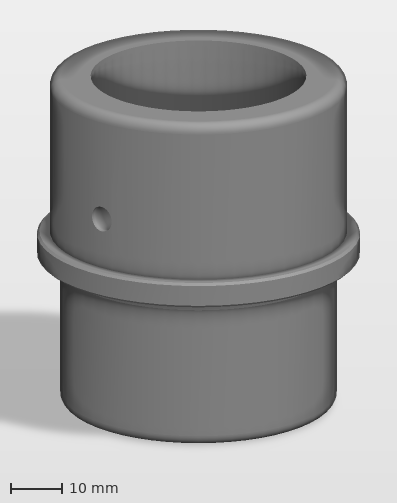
import cadquery as cq

height = 67.0
bore_radius = 21.05
lower_radius = 27.0
upper_radius = 29.0
end_round = 2.0

flange_radius = 31.5
flange_bottom = 30.0
flange_thickness = 5.0
flange_chamfer = 0.5
flange_top = flange_bottom + flange_thickness

groove_height = 2.0
groove_depth = 0.55
groove_radius = lower_radius - groove_depth
groove_bottom = flange_bottom - groove_height
groove_arc_radius = (groove_height**2 + groove_depth**2) / (2 * groove_depth)

hole_diameter = 5.0
hole_height = flange_top + 10.05


def cylinder(radius, bottom, top):
    return cq.Workplane("XY").workplane(offset=bottom).circle(radius).extrude(top - bottom)


def lower_sleeve():
    """Rounded lower cylinder, necked by the relief groove."""
    sleeve = cylinder(lower_radius, 0, groove_bottom).faces("<Z").edges().fillet(end_round)
    neck = (
        cq.Workplane("XZ")
        .moveTo(0, groove_bottom)
        .lineTo(lower_radius, groove_bottom)
        .radiusArc((groove_radius, flange_bottom), groove_arc_radius)
        .lineTo(0, flange_bottom)
        .close()
        .revolve(360, (0, 0), (0, 1))
    )
    return sleeve.union(neck)


def flange():
    return cylinder(flange_radius, flange_bottom, flange_top).edges().chamfer(flange_chamfer)


def upper_sleeve():
    return cylinder(upper_radius, flange_top, height).faces(">Z").edges().fillet(end_round)


def radial_hole():
    """Hole running from the axis out through the -Y wall."""
    return (
        cq.Workplane("XZ")
        .center(0, hole_height)
        .circle(hole_diameter / 2)
        .extrude(flange_radius)
    )


body = lower_sleeve().union(flange()).union(upper_sleeve())
result = body.cut(cylinder(bore_radius, 0, height)).cut(radial_hole())